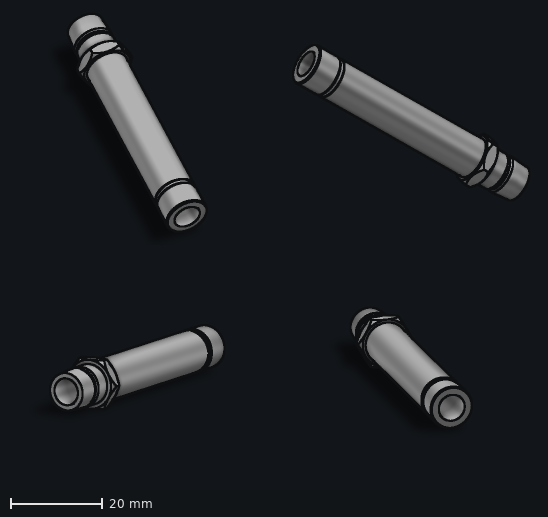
import cadquery as cq
import math

length = 60.0
bore_radius = 3.0

nose_end_radius = 4.2
neck_radius = 4.5
nose_length = 4.0

neck_groove_start = 4.9
neck_groove_floor_start = 5.45
neck_groove_floor_end = 6.0
neck_groove_end = 6.35
neck_groove_near_radius = 4.15
neck_groove_floor_radius = 3.95
neck_groove_far_radius = 4.0

tube_radius = 4.8
tube_end_chamfer_length = 0.3
tube_end_chamfer_depth = 0.2

tube_groove_start = 53.0
tube_groove_floor_end = 53.95
tube_groove_end = 54.25
tube_groove_depth = 0.2

hex_start = 10.0
hex_width = 2.95
hex_across_flats = 11.0
hex_across_corners = hex_across_flats / math.cos(math.pi / 6)
hex_face_radius = 5.45
hex_end = hex_start + hex_width


def revolve_about_x(profile):
    return profile.close().revolve(360, (0, 0, 0), (1, 0, 0))


def turned_body():
    neck_groove_middle = (neck_groove_floor_start + neck_groove_floor_end) / 2
    groove_radius = tube_radius - tube_groove_depth
    profile = (
        cq.Workplane("XY")
        .moveTo(0, bore_radius)
        .lineTo(0, nose_end_radius)
        .lineTo(nose_length, neck_radius)
        .lineTo(neck_groove_start, neck_radius)
        .lineTo(neck_groove_floor_start, neck_groove_near_radius)
        .threePointArc(
            (neck_groove_middle, neck_groove_floor_radius), (neck_groove_floor_end, neck_groove_far_radius)
        )
        .lineTo(neck_groove_end, neck_radius)
        .lineTo(hex_end, neck_radius)
        .lineTo(hex_end, tube_radius)
        .lineTo(tube_groove_start, tube_radius)
        .lineTo(tube_groove_start, groove_radius)
        .lineTo(tube_groove_floor_end, groove_radius)
        .lineTo(tube_groove_end, tube_radius)
        .lineTo(length - tube_end_chamfer_length, tube_radius)
        .lineTo(length, tube_radius - tube_end_chamfer_depth)
        .lineTo(length, bore_radius)
    )
    return revolve_about_x(profile)


def hex_collar():
    prism = cq.Workplane("YZ", origin=(hex_start, 0, 0)).polygon(6, hex_across_corners).extrude(hex_width)
    corner_radius = hex_across_corners / 2
    chamfer = corner_radius - hex_face_radius
    envelope = revolve_about_x(
        cq.Workplane("XY")
        .moveTo(hex_start, bore_radius)
        .lineTo(hex_start, hex_face_radius)
        .lineTo(hex_start + chamfer, corner_radius)
        .lineTo(hex_end - chamfer, corner_radius)
        .lineTo(hex_end, hex_face_radius)
        .lineTo(hex_end, bore_radius)
    )
    return prism.intersect(envelope)


result = turned_body().union(hex_collar())